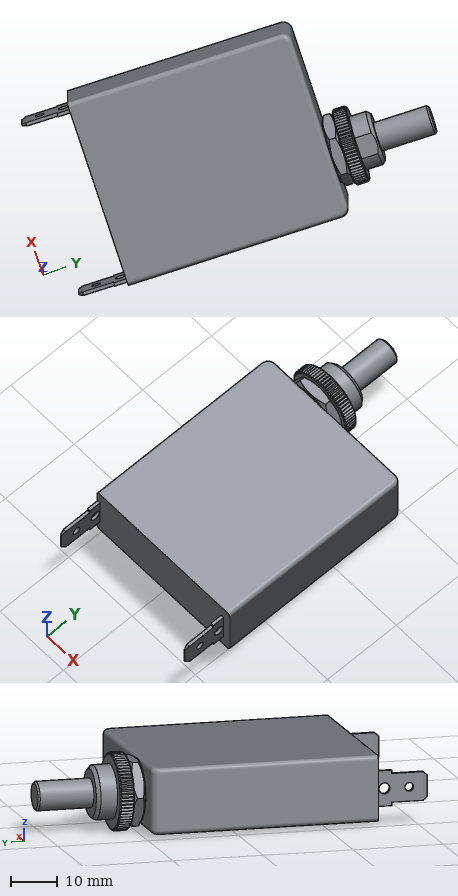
import cadquery as cq
import math

HOUSING_WIDTH = 42.0
HOUSING_LENGTH = 50.0
HOUSING_HEIGHT = 14.5
HOUSING_CORNER_RADIUS = 2.0
HOUSING_EDGE_FILLET = 1.0

BUTTON_X = -8.0

NUT_ACROSS_FLATS = 14.0
NUT_THICKNESS = 2.8
NUT_FACE_RADIUS = 6.95
NUT_CHAMFER_ANGLE = 30.0
NUT_WASHER_FACE_HEIGHT = 0.2

KNURL_OUTER_RADIUS = 8.5
KNURL_ROOT_RADIUS = 8.1
KNURL_THICKNESS = 3.2
KNURL_CHAMFER_HEIGHT = 0.4
KNURL_CHAMFER_WIDTH = 0.45
KNURL_TOOTH_COUNT = 67

BUSHING_RADIUS = 6.0
BUSHING_LENGTH = 10.5
BUSHING_CHAMFER = 0.8
BUSHING_FLAT_OFFSET = 5.5

PLUNGER_RADIUS = 3.2
PLUNGER_LENGTH = 22.8
PLUNGER_CHAMFER = 0.4

TERMINAL_PITCH = 39.0
TERMINAL_LEFT_X = -20.35
TERMINAL_THICKNESS = 0.8
TERMINAL_LENGTH = 11.0
SHOULDER_WIDTH = 7.8
SHOULDER_LENGTH = 3.0
BLADE_WIDTH = 6.3
TIP_WIDTH = 4.6
TIP_THICKNESS = 0.3
TIP_LENGTH = 1.0
LARGE_HOLE_DIAMETER = 2.4
LARGE_HOLE_DISTANCE = 1.4
SMALL_HOLE_DIAMETER = 1.9
SMALL_HOLE_DISTANCE = 6.9

JOINT_OVERLAP = 0.5


def button_plane(y):
    """Plane across the button axis at height y, with its normal along +Y."""
    return cq.Workplane(cq.Plane(origin=(BUTTON_X, y, 0), xDir=(1, 0, 0), normal=(0, 1, 0)))


def make_housing():
    box = cq.Workplane("XY").box(
        HOUSING_WIDTH, HOUSING_LENGTH, HOUSING_HEIGHT, centered=(True, False, True)
    )
    rounded = box.edges("|Z and >Y").fillet(HOUSING_CORNER_RADIUS)
    rim = rounded.faces("<Z or >Z").edges("not <Y")
    return rim.fillet(HOUSING_EDGE_FILLET)


def make_nut():
    """Hexagon with bevelled corners, standing on a thin round washer face."""
    corner_radius = NUT_ACROSS_FLATS / math.sqrt(3)
    hexagon_y = HOUSING_LENGTH + NUT_WASHER_FACE_HEIGHT
    hexagon_height = NUT_THICKNESS - NUT_WASHER_FACE_HEIGHT
    bevel_width = corner_radius - NUT_FACE_RADIUS
    bevel_height = bevel_width * math.tan(math.radians(NUT_CHAMFER_ANGLE))
    hexagon = button_plane(hexagon_y).polygon(6, 2 * corner_radius).extrude(hexagon_height)
    blank = (
        button_plane(hexagon_y)
        .circle(corner_radius)
        .extrude(hexagon_height)
        .faces("<Y or >Y")
        .chamfer(bevel_height, bevel_width)
    )
    washer_face = button_plane(HOUSING_LENGTH).circle(NUT_FACE_RADIUS).extrude(NUT_WASHER_FACE_HEIGHT)
    return hexagon.intersect(blank).union(washer_face)


def make_knurled_ring():
    base_y = HOUSING_LENGTH + NUT_THICKNESS
    pitch = 2 * math.pi / KNURL_TOOTH_COUNT
    outline = []
    for tooth in range(KNURL_TOOTH_COUNT):
        crest = -math.pi / 2 + tooth * pitch
        root = crest + pitch / 2
        outline.append((KNURL_OUTER_RADIUS * math.cos(crest), KNURL_OUTER_RADIUS * math.sin(crest)))
        outline.append((KNURL_ROOT_RADIUS * math.cos(root), KNURL_ROOT_RADIUS * math.sin(root)))
    toothed = button_plane(base_y).polyline(outline).close().extrude(KNURL_THICKNESS)
    blank = (
        button_plane(base_y)
        .circle(KNURL_OUTER_RADIUS)
        .extrude(KNURL_THICKNESS)
        .faces("<Y or >Y")
        .chamfer(KNURL_CHAMFER_HEIGHT, KNURL_CHAMFER_WIDTH)
    )
    return toothed.intersect(blank)


def make_bushing():
    bushing = (
        button_plane(HOUSING_LENGTH - JOINT_OVERLAP)
        .circle(BUSHING_RADIUS)
        .extrude(BUSHING_LENGTH + JOINT_OVERLAP)
        .faces(">Y")
        .chamfer(BUSHING_CHAMFER)
    )
    below_flat = cq.Workplane("XY").box(
        2 * BUSHING_RADIUS, BUSHING_LENGTH + JOINT_OVERLAP, BUSHING_RADIUS, centered=(True, False, False)
    ).translate((BUTTON_X, HOUSING_LENGTH - JOINT_OVERLAP, -BUSHING_FLAT_OFFSET - BUSHING_RADIUS))
    return bushing.cut(below_flat)


def make_plunger():
    return (
        button_plane(HOUSING_LENGTH - JOINT_OVERLAP)
        .circle(PLUNGER_RADIUS)
        .extrude(PLUNGER_LENGTH + JOINT_OVERLAP)
        .faces(">Y")
        .chamfer(PLUNGER_CHAMFER)
    )


def make_terminal(center_x):
    """Shouldered blade pointing to -Y, bevelled on both faces and both edges at its tip."""
    half_thickness = TERMINAL_THICKNESS / 2
    tip_start = TERMINAL_LENGTH - TIP_LENGTH
    side_plane = cq.Workplane("YZ", origin=(center_x, 0, 0))
    half_outline = [
        (JOINT_OVERLAP, SHOULDER_WIDTH / 2),
        (-SHOULDER_LENGTH, SHOULDER_WIDTH / 2),
        (-SHOULDER_LENGTH, BLADE_WIDTH / 2),
        (-tip_start, BLADE_WIDTH / 2),
        (-TERMINAL_LENGTH, TIP_WIDTH / 2),
    ]
    mirrored = [(y, -z) for y, z in reversed(half_outline)]
    blade = side_plane.polyline(half_outline + mirrored).close().extrude(half_thickness, both=True)

    half_profile = [
        (half_thickness, JOINT_OVERLAP),
        (half_thickness, -tip_start),
        (TIP_THICKNESS / 2, -TERMINAL_LENGTH),
    ]
    mirrored_profile = [(-x, y) for x, y in reversed(half_profile)]
    bevelled = (
        cq.Workplane("XY", origin=(center_x, 0, 0))
        .polyline(half_profile + mirrored_profile)
        .close()
        .extrude(SHOULDER_WIDTH, both=True)
    )
    blade = blade.intersect(bevelled)

    holes = [(LARGE_HOLE_DISTANCE, LARGE_HOLE_DIAMETER), (SMALL_HOLE_DISTANCE, SMALL_HOLE_DIAMETER)]
    for distance, diameter in holes:
        drill = side_plane.center(-distance, 0).circle(diameter / 2).extrude(TERMINAL_THICKNESS, both=True)
        blade = blade.cut(drill)
    return blade


result = make_housing()
for component in (make_nut(), make_knurled_ring(), make_bushing(), make_plunger()):
    result = result.union(component)
for terminal_index in range(2):
    result = result.union(make_terminal(TERMINAL_LEFT_X + terminal_index * TERMINAL_PITCH))